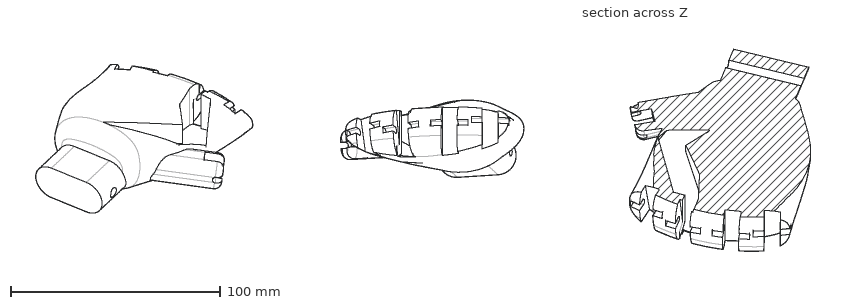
import math

import cadquery as cq

STUB_LENGTH = 20.0
STUB_WIDTH = 38.0
STUB_HEIGHT = 18.0
STUB_OVERLAP = 5.0
PIN_HOLE_DIAMETER = 5.0

PALM_SECTIONS = [
    (0.0, -22.6, 22.6, -12.8, 7.5, 26.0, 1.0, 1.0),
    (20.0, -31.9, 31.4, -15.4, 2.5, 17.5, 0.95, 0.95),
    (40.0, -38.2, 36.4, -18.2, -2.0, 10.2, 0.9, 0.9),
    (60.0, -39.4, 37.7, -20.8, -6.0, 3.8, 0.8, 0.8),
    (76.0, -40.3, 38.7, -23.0, -7.8, 1.0, 0.6, 0.8),
    (95.0, -40.3, 38.7, -23.0, -7.8, 0.0, 0.6, 0.8),
]
SECTION_POINTS = 24
WRIST_FILLET = 7.5

KNUCKLE_TIP_Y = 88.96
KNUCKLE_ARC_RADIUS = 91.0
KNUCKLE_ARC_X = 3.0
KNUCKLE_ARC_Y = KNUCKLE_TIP_Y - KNUCKLE_ARC_RADIUS
NOSE_TOP_Z = 1.5
NOSE_TIP_Z = -15.5
NOSE_BOTTOM_Z = -23.5
NOSE_TOP_LENGTH = 15.0
NOSE_BOTTOM_LENGTH = 10.0
CLEARANCE = 60.0

FINGER_SLOTS = [
    (-30.2, 16.0, 0.0, 7.7, -7.5),
    (-12.2, 10.0, 0.0, 7.7, -9.0),
    (9.6, -2.0, 5.0, 7.5, -10.0),
    (28.2, -9.0, 8.0, 7.5, -8.5),
]
SLOT_DEPTH = 9.4
NOTCH_WIDTH = 3.1
NOTCH_FLOOR_OFFSET = 2.8
NOTCH_SPAN = 18.0

THUMB_TIP = (51.2, 36.2, -3.8)
THUMB_PLAN_ANGLE = 29.5
THUMB_DROP_ANGLE = 7.0
THUMB_ROLL_ANGLE = 10.0
THUMB_LENGTH = 34.0
THUMB_WIDTH = 18.9
THUMB_THICKNESS = 14.3
THUMB_CORNER_RADIUS = 5.8
THUMB_TIP_RADIUS = 3.5
THUMB_SLOT_WIDTH = 7.7
THUMB_SLOT_DEPTH = 9.8
THUMB_NOTCH_DEPTH = 4.6

CHANNEL_OUTLINE = [
    (-0.3, 10.6), (22.1, 45.3), (10.3, 60.8), (6.0, 76.0), (6.0, 84.0),
    (12.8, 84.0), (12.8, 75.5), (18.5, 75.3), (36.0, 44.7), (29.8, 30.4), (3.4, 10.7),
]
CHANNEL_FLOOR = [(1.5, 10.6, 7.0), (10.3, 60.8, -14.0), (36.0, 44.7, -3.0)]


def palm_section(y, left, right, low, middle, high, top_exponent, bottom_exponent):
    """Closed oval in a plane of constant y; exponents below 1 square it off."""
    center = (left + right) / 2
    half_width = (right - left) / 2
    points = []
    for index in range(SECTION_POINTS):
        angle = 2 * math.pi * index / SECTION_POINTS
        sine = math.sin(angle)
        if sine > 0:
            z = middle + (high - middle) * sine ** top_exponent
        else:
            z = middle - (middle - low) * (-sine) ** bottom_exponent
        points.append(cq.Vector(center + half_width * math.cos(angle), y, z))
    return cq.Wire.assembleEdges([cq.Edge.makeSpline(points, periodic=True)])


def palm_blank():
    """Lofted palm, rounded at the wrist and open-ended past the knuckles."""
    wires = [palm_section(*section) for section in PALM_SECTIONS]
    blank = cq.Workplane(cq.Solid.makeLoft(wires))
    return blank.faces("<Y").edges().fillet(WRIST_FILLET)


def knuckle_envelope():
    """Turned body whose rounded rim gives the knuckles their nose shape."""
    rim = KNUCKLE_ARC_RADIUS
    upper_start = rim - NOSE_TOP_LENGTH
    lower_start = rim - NOSE_BOTTOM_LENGTH
    profile = (
        cq.Workplane("XZ")
        .moveTo(0, -CLEARANCE)
        .lineTo(lower_start, -CLEARANCE)
        .lineTo(lower_start, NOSE_BOTTOM_Z)
        .spline([(rim, NOSE_TIP_Z)], tangents=[(1, 0), (0, 1)], includeCurrent=True)
        .spline([(upper_start, NOSE_TOP_Z)], tangents=[(0, 1), (-1, 0)], includeCurrent=True)
        .lineTo(upper_start, CLEARANCE)
        .lineTo(0, CLEARANCE)
        .close()
    )
    turned = profile.revolve(360, (0, 0, 0), (0, 1, 0))
    return turned.translate((KNUCKLE_ARC_X, KNUCKLE_ARC_Y, 0))


def notch_cutter(span):
    """Bar along X with a round bottom at y = 0, open toward +Y."""
    radius = NOTCH_WIDTH / 2
    return (
        cq.Workplane("YZ")
        .moveTo(CLEARANCE, -radius)
        .lineTo(radius, -radius)
        .threePointArc((0, 0), (radius, radius))
        .lineTo(CLEARANCE, radius)
        .close()
        .extrude(span / 2, both=True)
    )


def finger_cutter(floor_x, plan_angle, roll_angle, width, hinge_z):
    """Slot for one finger together with the notch for its hinge pin."""
    floor_radius = KNUCKLE_ARC_RADIUS - SLOT_DEPTH
    floor_y = KNUCKLE_ARC_Y + math.sqrt(floor_radius ** 2 - (floor_x - KNUCKLE_ARC_X) ** 2)
    slot = (
        cq.Workplane("XY")
        .box(width, CLEARANCE, 2 * CLEARANCE, centered=(True, False, True))
    )
    notch = notch_cutter(NOTCH_SPAN).translate((0, NOTCH_FLOOR_OFFSET, 0))
    cutter = slot.union(notch).rotate((0, 0, 0), (0, 1, 0), roll_angle)
    cutter = cutter.rotate((0, 0, 0), (0, 0, 1), plan_angle)
    return cutter.translate((floor_x, floor_y, hinge_z))


def place_thumb(shape):
    """Move a shape built along +X, with its tip at the origin, to the thumb."""
    placed = shape.rotate((0, 0, 0), (1, 0, 0), -THUMB_ROLL_ANGLE)
    placed = placed.rotate((0, 0, 0), (0, 1, 0), THUMB_DROP_ANGLE)
    placed = placed.rotate((0, 0, 0), (0, 0, 1), THUMB_PLAN_ANGLE)
    return placed.translate(THUMB_TIP)


def thumb_post():
    """Rounded post split into two lugs, each notched for the thumb hinge pin."""
    post = (
        cq.Workplane("XY")
        .box(THUMB_LENGTH, THUMB_WIDTH, THUMB_THICKNESS)
        .translate((-THUMB_LENGTH / 2, 0, 0))
        .edges("|X")
        .fillet(THUMB_CORNER_RADIUS)
        .faces(">X")
        .edges()
        .fillet(THUMB_TIP_RADIUS)
    )
    slot = (
        cq.Workplane("XY")
        .box(2 * THUMB_SLOT_DEPTH, THUMB_SLOT_WIDTH, 2 * THUMB_THICKNESS)
    )
    notch = notch_cutter(2 * THUMB_WIDTH).rotate((0, 0, 0), (0, 0, 1), -90)
    notch = notch.translate((-THUMB_NOTCH_DEPTH, 0, 0))
    return place_thumb(post.cut(slot).cut(notch))


def space_above(points):
    """Large block resting on the plane through three points."""
    origin, second, third = [cq.Vector(*point) for point in points]
    first_edge = second - origin
    normal = first_edge.cross(third - origin)
    if normal.z < 0:
        normal = -normal
    plane = cq.Plane(origin=origin, xDir=first_edge, normal=normal)
    size = 4 * CLEARANCE
    return cq.Workplane(plane).box(size, size, size, centered=(True, True, False))


def channel_cutter():
    """Open channel in the palm with upright walls and a flat sloping floor."""
    prism = (
        cq.Workplane("XY", origin=(0, 0, -CLEARANCE))
        .polyline(CHANNEL_OUTLINE)
        .close()
        .extrude(2 * CLEARANCE)
    )
    return prism.intersect(space_above(CHANNEL_FLOOR))


def wrist_stub():
    """Flat-sided peg with a cross hole for a retaining pin."""
    stub = (
        cq.Workplane("XZ", origin=(0, STUB_OVERLAP, 0))
        .slot2D(STUB_WIDTH, STUB_HEIGHT)
        .extrude(STUB_LENGTH + STUB_OVERLAP)
    )
    pin_hole = (
        cq.Workplane("YZ")
        .center(-STUB_LENGTH / 2, 0)
        .circle(PIN_HOLE_DIAMETER / 2)
        .extrude(STUB_WIDTH, both=True)
    )
    return stub.cut(pin_hole)


hand = palm_blank().intersect(knuckle_envelope())
hand = hand.union(thumb_post()).cut(channel_cutter())
for finger_slot in FINGER_SLOTS:
    hand = hand.cut(finger_cutter(*finger_slot))
result = hand.union(wrist_stub())